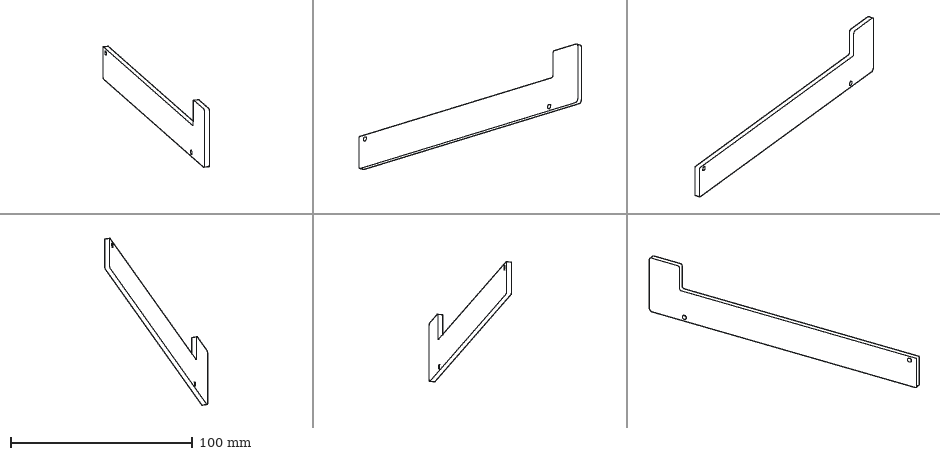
import cadquery as cq

length = 171.5
height = 34.0
thickness = 3.0

arm_height = 18.7
tab_left = 152.0

foot_radius = 2.0
inner_radius = 1.0
tab_top_radius = 1.45
arm_top_radius = 0.6
arm_bottom_radius = 0.95

hole_diameter = 2.4
hole_centres = [(4.6, 16.3), (149.0, 2.4)]


def rounded_corner(plate, x, z, radius):
    """Round the through-thickness edge nearest to (x, z)."""
    corner = cq.selectors.NearestToPointSelector((x, thickness / 2, z))
    return plate.edges("|Y").edges(corner).fillet(radius)


outline = [
    (0, 0),
    (length, 0),
    (length, height),
    (tab_left, height),
    (tab_left, arm_height),
    (0, arm_height),
]
plate = cq.Workplane("XZ").polyline(outline).close().extrude(-thickness)

corners = [
    (0, 0, arm_bottom_radius),
    (length, 0, foot_radius),
    (length, height, tab_top_radius),
    (tab_left, height, tab_top_radius),
    (tab_left, arm_height, inner_radius),
    (0, arm_height, arm_top_radius),
]
for x, z, radius in corners:
    plate = rounded_corner(plate, x, z, radius)

holes = (
    cq.Workplane("XZ")
    .pushPoints(hole_centres)
    .circle(hole_diameter / 2)
    .extrude(-thickness)
)
result = plate.cut(holes)